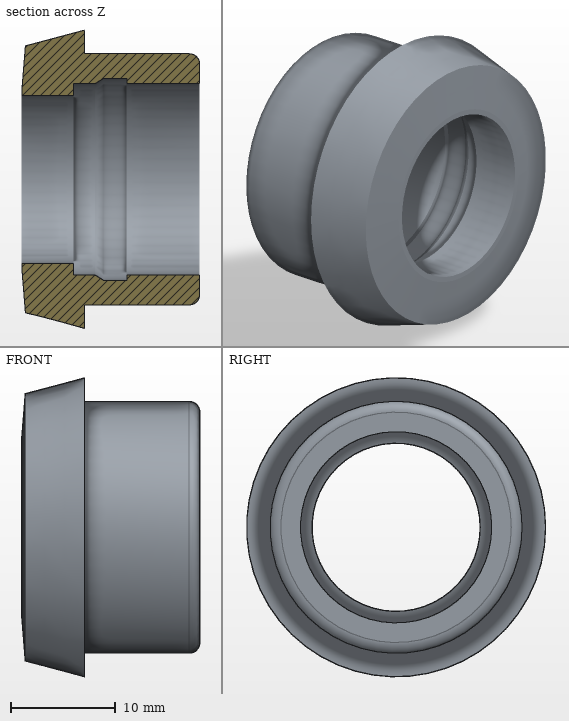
import cadquery as cq

length = 17.0
flange_diameter = 28.5
flange_front_diameter = 25.48
flange_end = 6.0
front_rise = 0.35
barrel_diameter = 24.0
barrel_end_fillet = 1.03

bore_diameter = 16.0
front_face_diameter = 17.0
recess_diameter = 18.2
groove_diameter = 19.2
recess_start = 4.95
groove_taper_start = 7.0
groove_start = 7.8
groove_end = 10.0


def ring_body():
    """Revolve the flared flange and plain barrel about the X axis."""
    body = (
        cq.Workplane("XY")
        .moveTo(0, 0)
        .lineTo(0, front_face_diameter / 2)
        .lineTo(front_rise, flange_front_diameter / 2)
        .lineTo(flange_end, flange_diameter / 2)
        .lineTo(flange_end, barrel_diameter / 2)
        .lineTo(length, barrel_diameter / 2)
        .lineTo(length, 0)
        .close()
        .revolve(360, (0, 0, 0), (1, 0, 0))
    )
    return body.faces(">X").edges().fillet(barrel_end_fillet)


def stepped_bore():
    """Front bore opening into a wider recess with a groove tapered on its front side."""
    bore_radius = bore_diameter / 2
    recess_radius = recess_diameter / 2
    groove_radius = groove_diameter / 2
    return (
        cq.Workplane("XY")
        .moveTo(0, 0)
        .lineTo(0, bore_radius)
        .lineTo(recess_start, bore_radius)
        .lineTo(recess_start, recess_radius)
        .lineTo(groove_taper_start, recess_radius)
        .lineTo(groove_start, groove_radius)
        .lineTo(groove_end, groove_radius)
        .lineTo(groove_end, recess_radius)
        .lineTo(length, recess_radius)
        .lineTo(length, 0)
        .close()
        .revolve(360, (0, 0, 0), (1, 0, 0))
    )


result = ring_body().cut(stepped_bore())